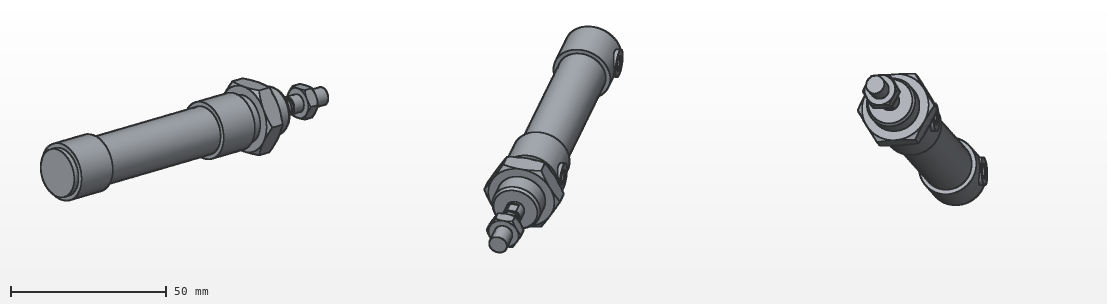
import cadquery as cq
import math

total_length = 115.0

tube_diameter = 16.0
head_diameter = 19.0
head_length = 13.6
rear_spigot_length = 1.8
front_head_end = 77.2
nose_face = 94.3
nose_chamfer_length = 1.0
nose_chamfer_depth = 0.7

boss_diameter = 9.0
boss_reach = 9.9
port_diameter = 4.3
port_mouth_diameter = 5.0
port_depth = 5.0
port_chamfer = (port_mouth_diameter - port_diameter) / 2
port_positions = [
    rear_spigot_length + boss_diameter / 2,
    front_head_end - boss_diameter / 2,
]

rod_diameter = 6.0
neck_diameter = 5.0
neck_start = 99.0
neck_end = 100.3
flat_start = 95.3
flats_width = 5.2

mounting_nut_flats = 22.0
mounting_nut_start = 80.8
mounting_nut_thickness = 6.4
rod_nut_flats = 10.0
rod_nut_start = 104.4
rod_nut_thickness = 4.0
nut_chamfer_angle = 30.0


def y_cylinder(diameter, start, end):
    """Solid cylinder along Y between two stations."""
    return (
        cq.Workplane("XZ", origin=(0, start, 0))
        .circle(diameter / 2)
        .extrude(start - end)
    )


def x_cylinder(diameter, y, start, end):
    """Solid cylinder along X between two X positions."""
    return (
        cq.Workplane("YZ", origin=(start, y, 0))
        .circle(diameter / 2)
        .extrude(end - start)
    )


def make_cylinder_body():
    """Tube, two heads and threaded nose in one piece, with both air ports."""
    nose_tip_radius = tube_diameter / 2 - nose_chamfer_depth
    tube = (
        cq.Workplane("XY")
        .lineTo(tube_diameter / 2, 0)
        .lineTo(tube_diameter / 2, nose_face - nose_chamfer_length)
        .lineTo(nose_tip_radius, nose_face)
        .lineTo(0, nose_face)
        .close()
        .revolve(360, (0, 0, 0), (0, 1, 0))
    )
    rear_head = y_cylinder(head_diameter, rear_spigot_length, rear_spigot_length + head_length)
    front_head = y_cylinder(head_diameter, front_head_end - head_length, front_head_end)
    body = tube.union(rear_head).union(front_head)
    for y in port_positions:
        body = body.union(x_cylinder(boss_diameter, y, -boss_reach, 0))
        body = body.cut(make_port(y))
    return body


def make_port(y):
    """Cutter for a blind port hole with a chamfered mouth."""
    hole = x_cylinder(port_diameter, y, -boss_reach, port_depth - boss_reach)
    mouth = (
        cq.Workplane("YZ", origin=(-boss_reach, y, 0))
        .circle(port_mouth_diameter / 2)
        .workplane(offset=port_chamfer)
        .circle(port_diameter / 2)
        .loft()
    )
    return hole.union(mouth)


def make_rod():
    """Rod standing on the nose face, with wrench flats and a thread relief neck."""
    shank = y_cylinder(rod_diameter, nose_face, neck_start)
    neck = y_cylinder(neck_diameter, neck_start, neck_end)
    thread = y_cylinder(rod_diameter, neck_end, total_length)
    flat_length = neck_start - flat_start
    flat_depth = (rod_diameter - flats_width) / 2
    for side in (-1, 1):
        flat_cut = cq.Workplane("XY").box(rod_diameter, flat_length, flat_depth).translate(
            (0, flat_start + flat_length / 2, side * (flats_width + flat_depth) / 2)
        )
        shank = shank.cut(flat_cut)
    return shank.union(neck).union(thread)


def make_nut(flats, start, thickness, bore):
    """Hexagon nut with corners on the X axis, chamfered at both ends."""
    end = start + thickness
    corner_radius = flats / math.sqrt(3)
    face_radius = flats / 2
    chamfer_length = (corner_radius - face_radius) * math.tan(math.radians(nut_chamfer_angle))
    hexagon = (
        cq.Workplane("XZ", origin=(0, start, 0))
        .polygon(6, 2 * corner_radius)
        .extrude(-thickness)
    )
    chamfer_envelope = (
        cq.Workplane("XY")
        .moveTo(0, start)
        .lineTo(face_radius, start)
        .lineTo(corner_radius, start + chamfer_length)
        .lineTo(corner_radius, end - chamfer_length)
        .lineTo(face_radius, end)
        .lineTo(0, end)
        .close()
        .revolve(360, (0, 0, 0), (0, 1, 0))
    )
    return hexagon.intersect(chamfer_envelope).cut(y_cylinder(bore, start, end))


cylinder_body = make_cylinder_body()
piston_rod = make_rod()
mounting_nut = make_nut(mounting_nut_flats, mounting_nut_start, mounting_nut_thickness, tube_diameter)
rod_nut = make_nut(rod_nut_flats, rod_nut_start, rod_nut_thickness, rod_diameter)

result = cq.Compound.makeCompound(
    [cylinder_body.val(), piston_rod.val(), mounting_nut.val(), rod_nut.val()]
)